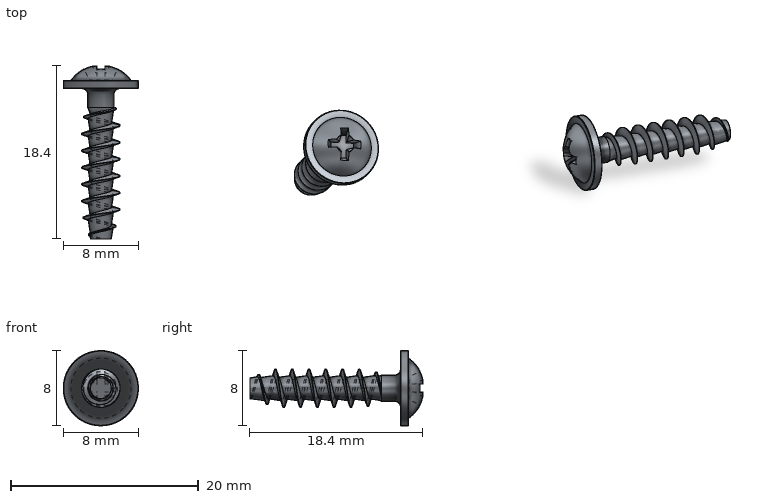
import cadquery as cq
import math


total_length = 18.41
head_height = 2.4
shaft_length = total_length - head_height

flange_diameter = 8.0
flange_radius = flange_diameter / 2
flange_thickness = 0.88
flange_edge = 0.05
dome_base_radius = 3.2
dome_rise = 1.64

wing_width = 0.85
wing_mouth_height = 2.1
wing_wall_angle = 25.0
recess_depth = 1.47

shank_radius = 1.4
shank_length = 1.99
shank_fillet = 0.6

core_radius = 1.12
neck_radius = shank_radius
neck_length = 0.72
tip_radius = 1.1
tip_slope = 0.17
tip_face_radius = 1.01
tip_bevel_height = 0.02
tip_rim = shaft_length - tip_bevel_height
ridge_radius = 1.38
ridge_slope = 0.15
ridge_length = 1.71

pitch = 1.79
crest_radius = 2.05
crest_width = 0.05
flank_angle = 16.5
thread_start = 1.7
thread_start_angle = -90.0
start_crest_radius = 1.55
end_crest_radius = 1.12
run_in_turns = 1.25
full_turns = 5.25
run_out_turns = 1.5
run_out_shift = 0.15
root_radius = 0.92


def dome_sphere_radius():
    return (dome_base_radius**2 + dome_rise**2) / (2 * dome_rise)


def dome_radius_at(height):
    """Radius of the dome at a height above the bearing face."""
    drop = flange_thickness + dome_rise - height
    return math.sqrt(2 * dome_sphere_radius() * drop - drop**2)


def make_head_and_shank():
    dome_top = flange_thickness + dome_rise
    mid_height = flange_thickness + dome_rise / 2
    fillet_mid = shank_fillet * (1 - math.sqrt(0.5))
    return (
        cq.Workplane("XZ")
        .moveTo(0, -dome_top)
        .threePointArc(
            (dome_radius_at(mid_height), -mid_height),
            (dome_base_radius, -flange_thickness),
        )
        .lineTo(flange_radius - flange_edge, -flange_thickness)
        .lineTo(flange_radius, flange_edge - flange_thickness)
        .lineTo(flange_radius, -flange_edge)
        .lineTo(flange_radius - flange_edge, 0)
        .lineTo(shank_radius + shank_fillet, 0)
        .threePointArc(
            (shank_radius + fillet_mid, fillet_mid),
            (shank_radius, shank_fillet),
        )
        .lineTo(shank_radius, shank_length)
        .lineTo(0, shank_length)
        .close()
        .revolve(360, (0, 0, 0), (0, 1, 0))
    )


def make_recess():
    """Four tapered wings around a tapered round centre."""
    lean = math.tan(math.radians(wing_wall_angle))
    floor = head_height - recess_depth
    top = flange_thickness + dome_rise

    def tapered_outline(known_radius, known_height):
        top_radius = known_radius + (top - known_height) * lean
        floor_radius = known_radius - (known_height - floor) * lean
        return top_radius, floor_radius

    bore_top, bore_floor = tapered_outline(dome_radius_at(head_height), head_height)
    recess = (
        cq.Workplane("XZ")
        .polyline([(0, -top), (bore_top, -top), (bore_floor, -floor), (0, -floor)])
        .close()
        .revolve(360, (0, 0, 0), (0, 1, 0))
    )
    wing_top, wing_floor = tapered_outline(dome_radius_at(wing_mouth_height), wing_mouth_height)
    wing = (
        cq.Workplane("XZ")
        .polyline([(-wing_top, -top), (wing_top, -top), (wing_floor, -floor), (-wing_floor, -floor)])
        .close()
        .extrude(wing_width / 2, both=True)
    )
    for angle in (0, 90):
        recess = recess.union(wing.rotate((0, 0, 0), (0, 0, 1), angle))
    return recess


def helix_edge(start, end, turns):
    """Helix between two (radius, z) points, which lie a number of turns apart."""
    rise = end[1] - start[1]
    cylindrical = math.isclose(start[0], end[0])
    cone_angle = 360 if cylindrical else math.degrees(math.atan((end[0] - start[0]) / rise))
    wire = cq.Wire.makeHelix(rise / turns, rise, start[0], angle=cone_angle)
    return wire.Edges()[0].translate(cq.Vector(0, 0, start[1]))


def helical_solid(start_section, end_section, turns, start_angle):
    """Solid wound about Z from one radial (radius, z) section to another."""
    edges = [helix_edge(a, b, turns) for a, b in zip(start_section, end_section)]
    count = len(edges)
    faces = [cq.Face.makeRuledSurface(edges[i], edges[(i + 1) % count]) for i in range(count)]
    for end in (0, 1):
        corners = [edge.positionAt(end) for edge in edges]
        faces.append(cq.Face.makeFromWires(cq.Wire.makePolygon(corners, close=True)))
    solid = cq.Solid.makeSolid(cq.Shell.makeShell(faces))
    solid = cq.Shape.cast(solid.fix().wrapped)
    return cq.Workplane(solid).rotate((0, 0, 0), (0, 0, 1), start_angle)


def thread_section(tip, z):
    half_crest = crest_width / 2
    half_root = half_crest + (tip - root_radius) * math.tan(math.radians(flank_angle))
    return [
        (root_radius, z - half_root),
        (tip, z - half_crest),
        (tip, z + half_crest),
        (root_radius, z + half_root),
    ]


def below_shank(shape):
    """Keep the part of the shape between the shank and the tip rim."""
    length = tip_rim - shank_length
    return shape.intersect(
        cq.Workplane("XY", origin=(0, 0, shank_length)).circle(flange_radius).extrude(length)
    )


def make_threads():
    stretches = [
        (run_in_turns, 0, start_crest_radius, crest_radius),
        (full_turns, 0, crest_radius, crest_radius),
        (run_out_turns, run_out_shift, crest_radius, end_crest_radius),
    ]
    threads = []
    z = thread_start
    angle = thread_start_angle
    for turns, extra_lead, first_radius, last_radius in stretches:
        next_z = z + turns * pitch + extra_lead
        first = thread_section(first_radius, z)
        last = thread_section(last_radius, next_z)
        thread = helical_solid(first, last, turns, angle)
        threads.append(below_shank(thread))
        z = next_z
        angle += turns * 360
    return threads


def ridge_section(z):
    return [
        (root_radius, z),
        (ridge_radius, z),
        (ridge_radius - ridge_slope * ridge_length, z + ridge_length),
        (root_radius, z + ridge_length),
    ]


def make_core():
    """Stepped-cone core wound at the thread pitch, narrowed to a cone at the tip."""
    span = shaft_length - shank_length
    lead_turns = 1
    turns = lead_turns + run_in_turns + full_turns + run_out_turns
    first_z = thread_start - lead_turns * pitch
    ridge = helical_solid(
        ridge_section(first_z), ridge_section(first_z + turns * pitch), turns, thread_start_angle
    )
    core = cq.Workplane("XY", origin=(0, 0, shank_length)).circle(core_radius).extrude(span)
    core = core.union(below_shank(ridge))
    neck = (
        cq.Workplane("XZ")
        .polyline([
            (0, shank_length),
            (neck_radius, shank_length),
            (core_radius, shank_length + neck_length),
            (0, shank_length + neck_length),
        ])
        .close()
        .revolve(360, (0, 0, 0), (0, 1, 0))
    )
    envelope = (
        cq.Workplane("XZ")
        .polyline([
            (0, shank_length),
            (tip_radius + tip_slope * (tip_rim - shank_length), shank_length),
            (tip_radius, tip_rim),
            (tip_face_radius, shaft_length),
            (0, shaft_length),
        ])
        .close()
        .revolve(360, (0, 0, 0), (0, 1, 0))
    )
    return core.union(neck).intersect(envelope)


screw = make_core()
for thread in make_threads():
    screw = screw.union(thread)
screw = screw.union(make_head_and_shank().cut(make_recess()))

result = screw.rotate((0, 0, 0), (1, 0, 0), 90)